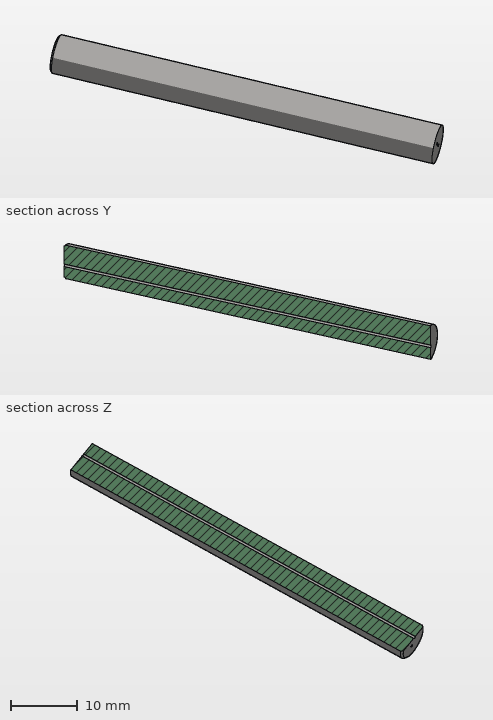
import cadquery as cq

rod_length = 60.0
rod_diameter = 6.0
chamfer_size = 0.3

hole_diameter = 0.35
hole_circle_diameter = 1.5
hole_angle = 120.0
hole_count = 2

end_plane = cq.Workplane("YZ", origin=(-rod_length / 2, 0, 0))

rod = end_plane.circle(rod_diameter / 2).extrude(rod_length)
rod = rod.faces("<X").chamfer(chamfer_size)

coolant_holes = (
    end_plane
    .polarArray(hole_circle_diameter / 2, hole_angle, 360, hole_count)
    .circle(hole_diameter / 2)
    .extrude(rod_length)
)

result = rod.cut(coolant_holes)